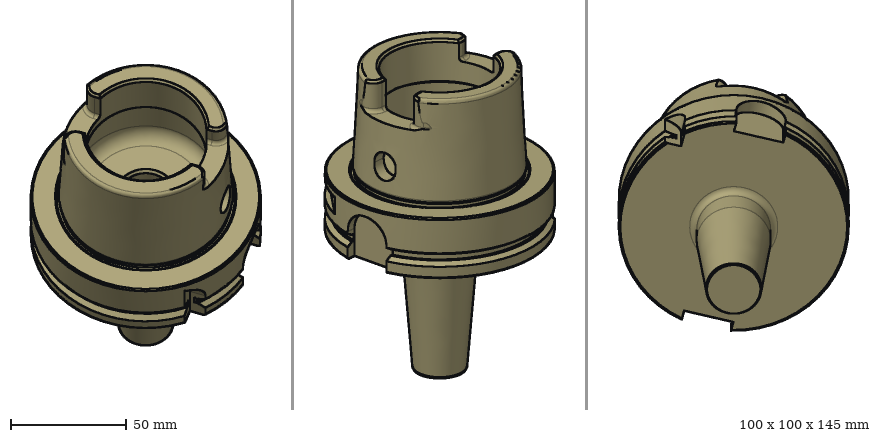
import cadquery as cq
import math

total_height = 145.0
flange_top = 95.0
flange_bottom = 66.0
shank_taper_top = 51.0

tip_radius = 12.0
shank_radius = 16.1
tip_chamfer = 0.9
shank_fillet = 3.0

flange_radius = 50.0
flange_chamfer = 0.7
groove_floor_radius = 46.1
groove_lower_edge = 71.8
groove_lower_floor = 73.5
groove_upper_floor = 76.5
groove_upper_edge = 78.3
groove_lip_radius = 47.3

taper_base_radius = 37.8
taper_base = 97.7
taper_slope = 0.05
rim_round = 1.7
relief_radius = 37.4
relief_depth = 0.7
relief_outer_radius = 39.5
land_height = 0.9
relief_cone_height = 0.9

mouth_radius = 26.4
mouth_chamfer = 1.2
mouth_bottom = 125.1
cavity_radius = 31.0
cavity_cone_angle = 30
cavity_floor = 98.3
cavity_fillet = 6.2
coupling_radius = 11.2
coupling_chamfer = 1.3
coupling_depth = 17.4
coolant_radius = 4.6
coolant_depth = 8.7

slot_half_width = 9.9
lug_corner_radius = 5.1
lug_flare_angle = 30
lug_flare_length = 8.7
lug_end_x = 32.2
left_slot_floor = 130.0
right_slot_floor = 135.3
slot_floor_fillet = 1.7
lug_chamfer = 1.2

cross_hole_radius = 6.1
cross_hole_height = 110.2
entry_drop = 0.9

keyway_radius = 11.0
keyway_top = 90.3
keyway_floor = 44.2
notch_wall = 31.6
notch_radius = 10.0
notch_arc_height = 80.6
flat_distance = 47.1
flat_bottom = 83.2
flat_top = 91.2

reach = 2 * flange_radius


def make_body():
    """Revolve the outer profile of shank, flange and taper."""
    rim_base_radius = taper_base_radius - taper_slope * (total_height - rim_round - taper_base)
    rim_mid = rim_round * (1 - math.sqrt(0.5))
    fillet_mid = shank_fillet * (1 - math.sqrt(0.5))
    profile = (
        cq.Workplane("XZ")
        .moveTo(0, 0)
        .lineTo(tip_radius - tip_chamfer / 2, 0)
        .lineTo(tip_radius, tip_chamfer)
        .lineTo(shank_radius, shank_taper_top)
        .lineTo(shank_radius, flange_bottom - shank_fillet)
        .threePointArc(
            (shank_radius + fillet_mid, flange_bottom - fillet_mid),
            (shank_radius + shank_fillet, flange_bottom),
        )
        .lineTo(flange_radius - flange_chamfer, flange_bottom)
        .lineTo(flange_radius, flange_bottom + flange_chamfer)
        .lineTo(flange_radius, groove_lower_edge)
        .lineTo(groove_lip_radius, groove_lower_floor)
        .lineTo(groove_floor_radius, groove_lower_floor)
        .lineTo(groove_floor_radius, groove_upper_floor)
        .lineTo(groove_lip_radius, groove_upper_floor)
        .lineTo(flange_radius, groove_upper_edge)
        .lineTo(flange_radius, flange_top - flange_chamfer)
        .lineTo(flange_radius - flange_chamfer, flange_top)
        .lineTo(relief_outer_radius, flange_top)
        .lineTo(relief_outer_radius - relief_depth, flange_top - relief_depth)
        .lineTo(relief_radius, flange_top - relief_depth)
        .lineTo(relief_radius, taper_base - land_height - relief_cone_height)
        .lineTo(taper_base_radius, taper_base - land_height)
        .lineTo(taper_base_radius, taper_base)
        .lineTo(rim_base_radius, total_height - rim_round)
        .threePointArc(
            (rim_base_radius - rim_mid, total_height - rim_mid),
            (rim_base_radius - rim_round, total_height),
        )
        .lineTo(0, total_height)
        .close()
    )
    return profile.revolve(360, (0, 0, 0), (0, 1, 0))


def make_bore():
    """Revolve the stepped, undercut bore below the rim."""
    fillet_mid = cavity_fillet * (1 - math.sqrt(0.5))
    cone_height = (cavity_radius - mouth_radius) * math.tan(math.radians(cavity_cone_angle))
    coupling_floor = cavity_floor - coupling_depth
    profile = (
        cq.Workplane("XZ")
        .moveTo(0, coupling_floor - coolant_depth)
        .lineTo(coolant_radius, coupling_floor - coolant_depth)
        .lineTo(coolant_radius, coupling_floor)
        .lineTo(coupling_radius, coupling_floor)
        .lineTo(coupling_radius, cavity_floor - coupling_chamfer)
        .lineTo(coupling_radius + coupling_chamfer, cavity_floor)
        .lineTo(cavity_radius - cavity_fillet, cavity_floor)
        .threePointArc(
            (cavity_radius - fillet_mid, cavity_floor + fillet_mid),
            (cavity_radius, cavity_floor + cavity_fillet),
        )
        .lineTo(cavity_radius, mouth_bottom - cone_height)
        .lineTo(mouth_radius, mouth_bottom)
        .lineTo(mouth_radius, total_height - mouth_chamfer)
        .lineTo(mouth_radius + mouth_chamfer, total_height)
        .lineTo(0, total_height)
        .close()
    )
    return profile.revolve(360, (0, 0, 0), (0, 1, 0))


def lug_slot_outline(side, height):
    """Plan outline of a drive slot that wraps around both lug corners; side is -1 for -X and +1 for +X."""
    center_x = lug_end_x - lug_corner_radius
    center_y = slot_half_width + lug_corner_radius
    flare = math.radians(lug_flare_angle)
    mid_angle = (flare - math.pi / 2) / 2
    mid_x = side * (center_x + lug_corner_radius * math.cos(mid_angle))
    mid_y = center_y + lug_corner_radius * math.sin(mid_angle)
    end_x = center_x + lug_corner_radius * math.cos(flare)
    end_y = center_y + lug_corner_radius * math.sin(flare)
    flare_x = side * (end_x - lug_flare_length * math.sin(flare))
    flare_y = end_y + lug_flare_length * math.cos(flare)
    return (
        cq.Workplane("XY", origin=(0, 0, height))
        .moveTo(0, -slot_half_width)
        .lineTo(side * center_x, -slot_half_width)
        .threePointArc((mid_x, -mid_y), (side * end_x, -end_y))
        .lineTo(flare_x, -flare_y)
        .lineTo(side * flange_radius, -flare_y)
        .lineTo(side * flange_radius, flare_y)
        .lineTo(flare_x, flare_y)
        .lineTo(side * end_x, end_y)
        .threePointArc((mid_x, mid_y), (side * center_x, slot_half_width))
        .lineTo(0, slot_half_width)
        .close()
    )


def make_lug_slot(side, floor):
    """Drive slot with a rounded floor edge and a chamfer along the top of the lug ends."""
    slot = lug_slot_outline(side, floor).extrude(total_height - floor)
    slot = slot.faces("<Z").edges().fillet(slot_floor_fillet)
    chamfer = lug_slot_outline(side, total_height - lug_chamfer).extrude(lug_chamfer, taper=-45)
    return slot.union(chamfer)


def make_keyway(side):
    """Round-topped keyway, open at the bottom of the flange."""
    arch_center = keyway_top - keyway_radius
    length = reach - keyway_floor
    center_x = side * (keyway_floor + length / 2)
    shaft = cq.Workplane("XY").box(length, 2 * keyway_radius, arch_center - flange_bottom)
    shaft = shaft.translate((center_x, 0, (arch_center + flange_bottom) / 2))
    arch = (
        cq.Workplane("YZ", origin=(side * keyway_floor, 0, arch_center))
        .circle(keyway_radius)
        .extrude(side * length)
    )
    return shaft.union(arch)


def make_corner_notch():
    """Square-cornered notch at +X -Y, ended above by a round cutter running along X."""
    size = 2 * notch_radius
    block = cq.Workplane("XY").box(reach, size, notch_arc_height - flange_bottom, centered=False)
    block = block.translate((notch_wall, -notch_wall - size, flange_bottom))
    arch = (
        cq.Workplane("YZ", origin=(notch_wall, -notch_wall - notch_radius, notch_arc_height))
        .circle(notch_radius)
        .extrude(reach)
    )
    return block.union(arch)


def make_rim_flat():
    """Flat pocket in the rim, facing -X +Y."""
    block = cq.Workplane("XY").box(reach, reach, flat_top - flat_bottom, centered=(False, True, False))
    return block.translate((flat_distance, 0, flat_bottom)).rotate((0, 0, 0), (0, 0, 1), 135)


def make_cross_hole():
    """Hole through both walls, lengthened downwards in the -X wall."""
    through = (
        cq.Workplane("YZ", origin=(-flange_radius, 0, cross_hole_height))
        .circle(cross_hole_radius)
        .extrude(reach)
    )
    entry = (
        cq.Workplane("YZ", origin=(-flange_radius, 0, cross_hole_height - entry_drop))
        .circle(cross_hole_radius)
        .extrude(flange_radius)
    )
    return through.union(entry)


result = make_body().cut(make_bore()).cut(make_cross_hole())
for side, slot_floor in ((-1, left_slot_floor), (1, right_slot_floor)):
    result = result.cut(make_lug_slot(side, slot_floor)).cut(make_keyway(side))
result = result.cut(make_corner_notch()).cut(make_rim_flat())